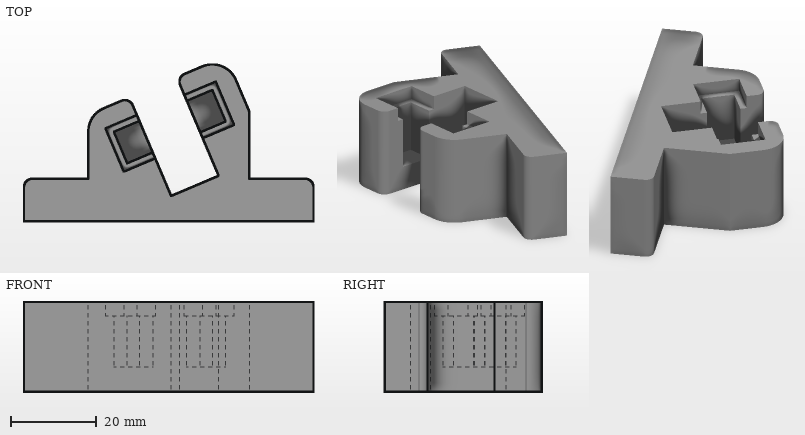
import cadquery as cq
import math

thickness = 21.0
block_width = 37.66
ear_length = 15.0
base_width = block_width + 2 * ear_length
base_height = 10.0
base_corner_radius = 2.0

tilt = 23.0
floor_middle_x = 6.1
floor_middle_y = 8.33
slot_width = 12.0
slot_depth = 25.0
slot_half = slot_width / 2
arm_side = 18.5
outer_radius = 6.0
lip_radius = 2.0

pocket_centre = 15.0
recess_length = 11.0
recess_reach = 8.0
recess_depth = 3.25
well_length = 8.0
well_reach = 6.5
well_depth = 12.0


def tilted(across, along):
    """Convert slot coordinates to part X, Y."""
    angle = math.radians(tilt)
    x = floor_middle_x + across * math.cos(angle) - along * math.sin(angle)
    y = floor_middle_y + across * math.sin(angle) + along * math.cos(angle)
    return x, y


def where_tilted_top_meets(x):
    """Point at the given X on the tilted line across the arm tips."""
    tip_x, tip_y = tilted(0, slot_depth)
    return x, tip_y + (x - tip_x) * math.tan(math.radians(tilt))


def where_tilted_side_meets(x):
    """Point at the given X on the tilted outer side of the taller arm."""
    side_x, side_y = tilted(arm_side, 0)
    return x, side_y - (x - side_x) / math.tan(math.radians(tilt))


def round_corner(body, corner, radius):
    """Round the full-thickness edge that stands on the given X, Y corner."""
    edge = cq.selectors.NearestToPointSelector((*corner, thickness / 2))
    return body.edges("|Z").edges(edge).fillet(radius)


def make_body():
    half_base = base_width / 2
    half_block = block_width / 2
    left_ear = (-half_base, base_height)
    right_ear = (half_base, base_height)
    left_shoulder = where_tilted_top_meets(-half_block)
    left_lip = tilted(-slot_half, slot_depth)
    right_lip = tilted(slot_half, slot_depth)
    right_shoulder = tilted(arm_side, slot_depth)
    outline = [
        (-half_base, 0),
        (half_base, 0),
        right_ear,
        (half_block, base_height),
        where_tilted_side_meets(half_block),
        right_shoulder,
        right_lip,
        tilted(slot_half, 0),
        tilted(-slot_half, 0),
        left_lip,
        left_shoulder,
        (-half_block, base_height),
        left_ear,
    ]
    body = cq.Workplane("XY").polyline(outline).close().extrude(thickness)
    for corner in (left_ear, right_ear):
        body = round_corner(body, corner, base_corner_radius)
    for corner in (left_lip, right_lip):
        body = round_corner(body, corner, lip_radius)
    for corner in (left_shoulder, right_shoulder):
        body = round_corner(body, corner, outer_radius)
    return body


def make_pocket(length, reach, depth):
    """Tilted box across the slot that cuts equally far into both arms from the top face."""
    centre = tilted(0, pocket_centre)
    return (
        cq.Workplane("XY", origin=(*centre, thickness))
        .transformed(rotate=(0, 0, tilt))
        .rect(slot_width + 2 * reach, length)
        .extrude(-depth)
    )


recess = make_pocket(recess_length, recess_reach, recess_depth)
well = make_pocket(well_length, well_reach, recess_depth + well_depth)

result = make_body().cut(recess).cut(well)